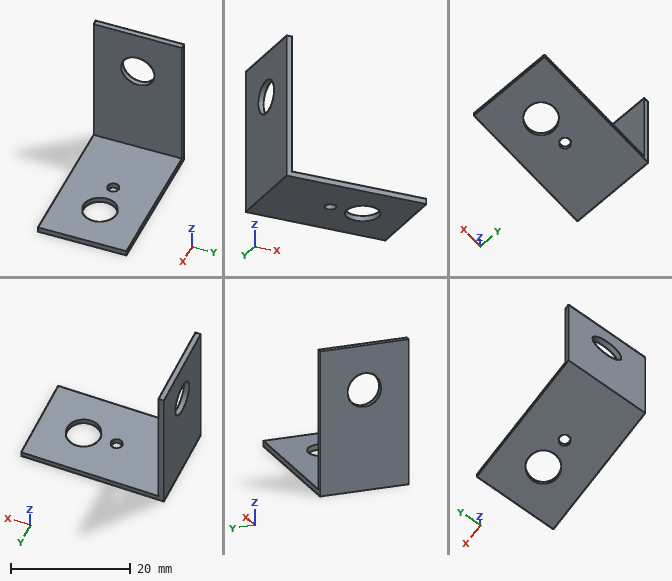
import cadquery as cq

leg_length = 26.0
width = 16.0
thickness = 1.0

large_diameter = 6.0
small_diameter = 2.0
large_hole_from_end = 8.0
hole_spacing = 6.0

large_hole_position = leg_length - large_hole_from_end
small_hole_position = large_hole_position - hole_spacing


def base_leg():
    """Horizontal plate with a large hole and a small hole."""
    plate = cq.Workplane("XY").box(leg_length, width, thickness, centered=(False, True, False))
    large_hole = cq.Workplane("XY").center(large_hole_position, 0).circle(large_diameter / 2)
    small_hole = cq.Workplane("XY").center(small_hole_position, 0).circle(small_diameter / 2)
    return plate.cut(large_hole.extrude(thickness)).cut(small_hole.extrude(thickness))


def upright_leg():
    """Vertical plate standing on the base, with one large hole."""
    height = leg_length - thickness
    plate = (
        cq.Workplane("XY", origin=(0, 0, thickness))
        .box(thickness, width, height, centered=(False, True, False))
    )
    large_hole = cq.Workplane("YZ").center(0, large_hole_position).circle(large_diameter / 2)
    return plate.cut(large_hole.extrude(thickness))


result = base_leg().union(upright_leg())